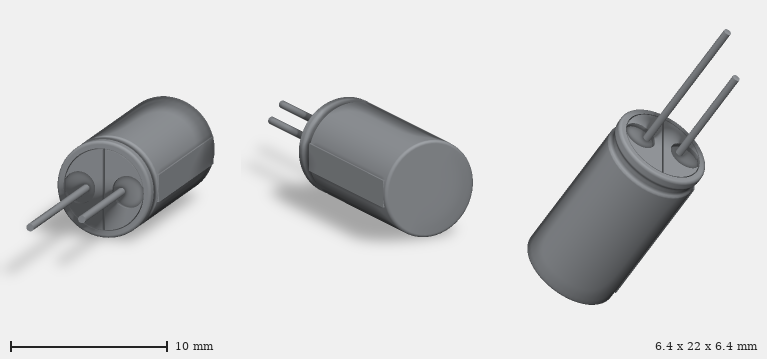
import cadquery as cq
import math


can_radius = 3.2
can_length = 11.8
end_fillet = 0.2
rim_opening_radius = 2.73

groove_center = 1.03
groove_half_width = 0.5
groove_floor_half_width = 0.125
groove_fillet = 0.22
flank_angle = math.radians(45)

stripe_width = 1.8
stripe_thickness = 0.25
stripe_start = 1.5
stripe_end = can_length - 2 * end_fillet

plug_depth = 1.5
pad_radius = 2.66
pad_height = 0.3
pad_gap = 0.15
recess_radius = 1.07
recess_offset = 1.65

lead_radius = 0.25
lead_spacing = 2.4
lead_lengths = {-1: 10.2, 1: 7.2}


def disc(radius, start, end, x=0):
    """Cylinder parallel to Y between two Y positions."""
    plane = cq.Plane(origin=(x, start, 0), xDir=(1, 0, 0), normal=(0, 1, 0))
    return cq.Workplane(plane).circle(radius).extrude(end - start)


def box_between(x_range, y_range, z_width):
    """Box over the given X and Y ranges, centred on Z = 0."""
    x_start, x_end = x_range
    y_start, y_end = y_range
    box = cq.Workplane("XY").box(x_end - x_start, y_end - y_start, z_width, centered=(False, False, True))
    return box.translate((x_start, y_start, 0))


def crimp_groove():
    """Ring of material removed by the groove: flat floor, conical flanks, rounded at both ends."""
    arc_axial = groove_fillet * math.sin(flank_angle)
    arc_radial = groove_fillet * (1 - math.cos(flank_angle))
    mid_axial = groove_fillet * math.sin(flank_angle / 2)
    mid_radial = groove_fillet * (1 - math.cos(flank_angle / 2))
    flank_axial = groove_half_width - groove_floor_half_width - 2 * arc_axial
    floor_radius = can_radius - 2 * arc_radial - flank_axial * math.tan(flank_angle)
    outer_radius = can_radius + groove_half_width

    def point(side, radius, offset):
        return (radius, groove_center + side * offset)

    def flank(side):
        """Points from the groove mouth down to the floor on one side."""
        return [
            point(side, can_radius, groove_half_width),
            point(side, can_radius - mid_radial, groove_half_width - mid_axial),
            point(side, can_radius - arc_radial, groove_half_width - arc_axial),
            point(side, floor_radius + arc_radial, groove_floor_half_width + arc_axial),
            point(side, floor_radius + mid_radial, groove_floor_half_width + mid_axial),
            point(side, floor_radius, groove_floor_half_width),
        ]

    low = flank(-1)
    high = flank(1)
    profile = (
        cq.Workplane("XY")
        .moveTo(*low[0])
        .threePointArc(low[1], low[2])
        .lineTo(*low[3])
        .threePointArc(low[4], low[5])
        .lineTo(*high[5])
        .threePointArc(high[4], high[3])
        .lineTo(*high[2])
        .threePointArc(high[1], high[0])
        .lineTo(*point(1, outer_radius, groove_half_width))
        .lineTo(*point(-1, outer_radius, groove_half_width))
        .close()
    )
    return profile.revolve(360, (0, 0, 0), (0, 1, 0))


def make_stripe():
    return box_between(
        (can_radius - stripe_thickness, can_radius),
        (stripe_start, stripe_end),
        stripe_width,
    )


def make_can():
    can = disc(can_radius, 0, can_length).edges().fillet(end_fillet)
    can = can.cut(crimp_groove())
    can = can.cut(disc(rim_opening_radius, 0, plug_depth))
    return can.cut(make_stripe())


def make_plug():
    """Disc carrying two raised half-round pads, each with a round recess behind its lead."""
    base = disc(rim_opening_radius, pad_height, plug_depth)
    pads = disc(pad_radius, 0, pad_height)
    pads = pads.cut(box_between((-pad_gap / 2, pad_gap / 2), (0, pad_height), 2 * pad_radius))
    for side in lead_lengths:
        pads = pads.cut(disc(recess_radius, 0, pad_height, side * recess_offset))
    return base.union(pads)


def make_lead(side, length):
    """Lead starting in the plane of the rim, clear of the recess floor behind it."""
    return disc(lead_radius, -length, 0, side * lead_spacing / 2)


can = make_can()
plug = make_plug()
stripe = make_stripe()
leads = [make_lead(side, length) for side, length in lead_lengths.items()]

result = cq.Compound.makeCompound(
    [can.val(), plug.val(), stripe.val(), *[lead.val() for lead in leads]]
)